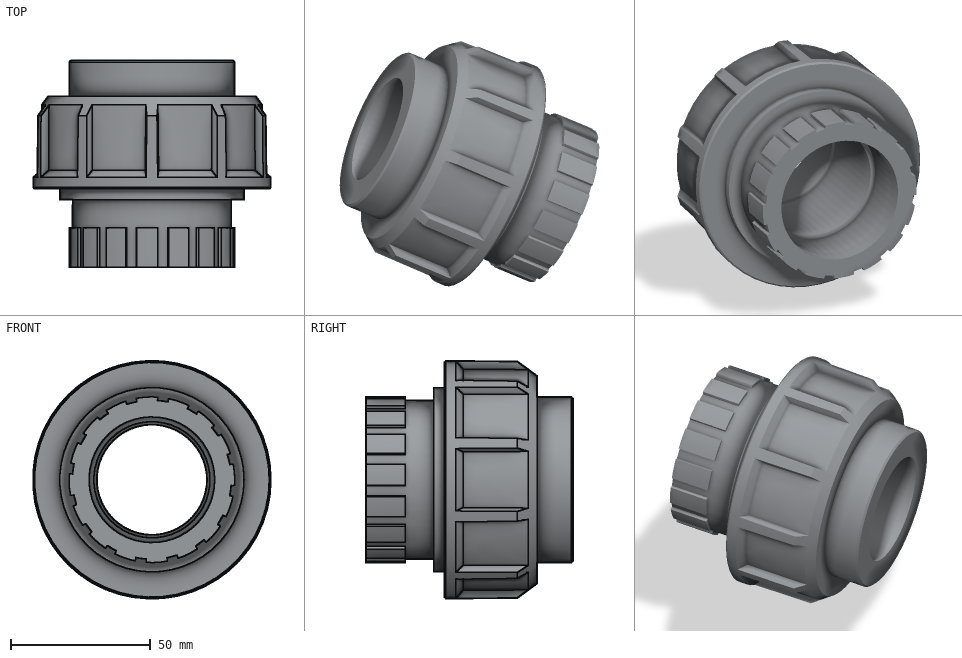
import cadquery as cq


OVERALL_LENGTH = 74.0
FRONT_Y = -OVERALL_LENGTH / 2
REAR_Y = OVERALL_LENGTH / 2

PLAIN_TAIL_BORE_RADIUS = 19.65
SOCKET_RADIUS = 22.5
SOCKET_DEPTH = 21.95
SOCKET_TAIL_BORE_RADIUS = 20.8

TUBE_RADIUS = 28.4
COLLAR_RADIUS = 32.9
COLLAR_FRONT_Y = -12.85
TOOTH_COUNT = 16
TOOTH_TIP_RADIUS = 29.6
TOOTH_WIDTH = 7.6
TOOTH_LENGTH = 14.1
TOOTH_START_ANGLE = 3.4

TAIL_RADIUS = 29.6
TAIL_CHAMFER = 0.7

FLANGE_RADIUS = 42.5
NUT_FRONT_Y = -9.0
NUT_REAR_Y = 24.2
NUT_REAR_RADIUS = 37.1
FLOOR_FRONT_RADIUS = 39.65
FLOOR_REAR_RADIUS = 39.4
FLANGE_CHAMFER = 0.6
FLANGE_REAR_Y = -4.9
FLOOR_FRONT_Y = -2.3
RIB_REAR_Y = 17.1
RIB_REAR_RADIUS = 42.3
NUT_WALL = 5.1
SHOULDER_Y = NUT_REAR_Y - NUT_WALL

RIB_COUNT = 10
RIB_START_ANGLE = 90.0
RIB_BASE_RADIUS = 38.3
RIB_FRONT_BASE_WIDTH = 5.4
RIB_REAR_BASE_WIDTH = 4.5
RIB_DRAFT_ANGLE = 7.7

CLEARANCE = 0.85
POCKET_CUT_RADIUS = FLANGE_RADIUS + CLEARANCE


def revolve_profile(points):
    """Revolve a closed outline of (radius, y) points about the Y axis."""
    return cq.Workplane("XY").polyline(points).close().revolve(360, (0, 0, 0), (0, 1, 0))


def repeat_about_axis(shape, count, start_angle):
    """Return copies of a shape that points along +X, turned towards +Z about the Y axis."""
    step = 360 / count
    return [
        shape.rotate((0, 0, 0), (0, 1, 0), -(start_angle + index * step))
        for index in range(count)
    ]


def make_tooth():
    """One straight-sided tooth pointing along +X, rooted inside the tube wall."""
    root_radius = (TUBE_RADIUS + SOCKET_RADIUS) / 2
    block = (
        cq.Workplane("XY")
        .box(TOOTH_TIP_RADIUS - root_radius, TOOTH_LENGTH, TOOTH_WIDTH, centered=(False, False, True))
        .translate((root_radius, FRONT_Y, 0))
    )
    tip_cylinder = revolve_profile([
        (0, FRONT_Y),
        (TOOTH_TIP_RADIUS, FRONT_Y),
        (TOOTH_TIP_RADIUS, FRONT_Y + TOOTH_LENGTH),
        (0, FRONT_Y + TOOTH_LENGTH),
    ])
    return block.intersect(tip_cylinder)


def make_socket_tail():
    """Front body: socket and ledge inside, teeth and collar outside."""
    ledge_y = FRONT_Y + SOCKET_DEPTH
    body = revolve_profile([
        (SOCKET_RADIUS, FRONT_Y),
        (TUBE_RADIUS, FRONT_Y),
        (TUBE_RADIUS, COLLAR_FRONT_Y),
        (COLLAR_RADIUS, COLLAR_FRONT_Y),
        (COLLAR_RADIUS, SHOULDER_Y),
        (SOCKET_TAIL_BORE_RADIUS, SHOULDER_Y),
        (SOCKET_TAIL_BORE_RADIUS, ledge_y),
        (SOCKET_RADIUS, ledge_y),
    ])
    for tooth in repeat_about_axis(make_tooth(), TOOTH_COUNT, TOOTH_START_ANGLE):
        body = body.union(tooth)
    return body


def make_plain_tail():
    """Rear body: plain tube that butts against the socket tail inside the nut."""
    return revolve_profile([
        (PLAIN_TAIL_BORE_RADIUS, SHOULDER_Y),
        (TAIL_RADIUS, SHOULDER_Y),
        (TAIL_RADIUS, REAR_Y - TAIL_CHAMFER),
        (TAIL_RADIUS - TAIL_CHAMFER, REAR_Y),
        (PLAIN_TAIL_BORE_RADIUS, REAR_Y),
    ])


def make_rib_wedge():
    """Oversized wedge of one rib pointing along +X, wider at the front and at its base."""
    half_front = RIB_FRONT_BASE_WIDTH / 2
    half_rear = RIB_REAR_BASE_WIDTH / 2
    return (
        cq.Workplane("YZ", origin=(RIB_BASE_RADIUS, 0, 0))
        .polyline([
            (NUT_FRONT_Y, -half_front),
            (NUT_REAR_Y, -half_rear),
            (NUT_REAR_Y, half_rear),
            (NUT_FRONT_Y, half_front),
        ])
        .close()
        .extrude(POCKET_CUT_RADIUS + CLEARANCE - RIB_BASE_RADIUS, taper=RIB_DRAFT_ANGLE)
    )


def make_pockets():
    """Ring of material between the ribs, with a sloped front wall and a slightly coned floor."""
    slope = (FLOOR_FRONT_Y - FLANGE_REAR_Y) / (FLANGE_RADIUS - FLOOR_FRONT_RADIUS)
    slope_front_y = FLANGE_REAR_Y - slope * (POCKET_CUT_RADIUS - FLANGE_RADIUS)
    rear_y = NUT_REAR_Y - CLEARANCE
    pockets = revolve_profile([
        (POCKET_CUT_RADIUS, slope_front_y),
        (FLOOR_FRONT_RADIUS, FLOOR_FRONT_Y),
        (FLOOR_REAR_RADIUS, rear_y),
        (POCKET_CUT_RADIUS, rear_y),
    ])
    for wedge in repeat_about_axis(make_rib_wedge(), RIB_COUNT, RIB_START_ANGLE):
        pockets = pockets.cut(wedge)
    return pockets


def make_nut():
    """Union nut: flanged, coned ring with a stepped bore and pockets that leave the ribs."""
    envelope = revolve_profile([
        (COLLAR_RADIUS, NUT_FRONT_Y),
        (FLANGE_RADIUS - FLANGE_CHAMFER, NUT_FRONT_Y),
        (FLANGE_RADIUS, NUT_FRONT_Y + FLANGE_CHAMFER),
        (RIB_REAR_RADIUS, RIB_REAR_Y),
        (NUT_REAR_RADIUS, NUT_REAR_Y),
        (TAIL_RADIUS, NUT_REAR_Y),
        (TAIL_RADIUS, SHOULDER_Y),
        (COLLAR_RADIUS, SHOULDER_Y),
    ])
    return envelope.cut(make_pockets())


socket_tail = make_socket_tail()
plain_tail = make_plain_tail()
union_nut = make_nut()

result = cq.Compound.makeCompound([socket_tail.val(), plain_tail.val(), union_nut.val()])